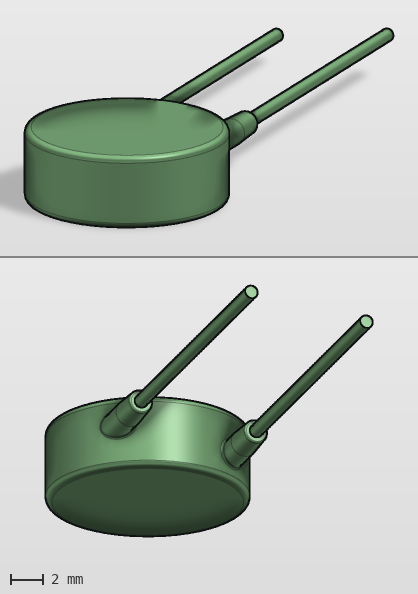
import cadquery as cq

body_diameter = 12.5
body_height = 4.6
body_edge_radius = 0.4

overall_length = 35.5
lead_offset_x = 3.73
lead_offset_z = 0.5
wire_diameter = 0.8

sleeve_diameter = 1.7
sleeve_tip_diameter = 1.5
sleeve_tip_edge_radius = 0.1
sleeve_root_blend = 0.1
taper_start_y = 7.05
sleeve_tip_y = 9.23

body_radius = body_diameter / 2
wire_end_y = overall_length - body_radius
sleeve_root_y = body_radius / 2


def make_body():
    """Disc with rounded top and bottom rims."""
    disc = cq.Workplane("XY").workplane(offset=-body_height / 2).circle(body_radius).extrude(body_height)
    return disc.faces("|Z").edges().fillet(body_edge_radius)


def make_lead(x, z):
    """Tapered sleeve and the wire through it, along an axis parallel to Y."""
    sleeve_radius = sleeve_diameter / 2
    tip_radius = sleeve_tip_diameter / 2
    wire_radius = wire_diameter / 2
    sleeve = (
        cq.Workplane("XY")
        .moveTo(0, sleeve_root_y)
        .lineTo(sleeve_radius, sleeve_root_y)
        .lineTo(sleeve_radius, taper_start_y)
        .lineTo(tip_radius, sleeve_tip_y)
        .lineTo(0, sleeve_tip_y)
        .close()
        .revolve(360, (0, 0, 0), (0, 1, 0))
        .faces(">Y")
        .edges()
        .fillet(sleeve_tip_edge_radius)
    )
    wire = (
        cq.Workplane("XZ", origin=(0, sleeve_root_y, 0))
        .circle(wire_radius)
        .extrude(sleeve_root_y - wire_end_y)
    )
    return sleeve.union(wire).translate((x, 0, z))


result = make_body()
for side in (-1, 1):
    result = result.union(make_lead(side * lead_offset_x, side * lead_offset_z))

result = result.edges("%BSPLINE").fillet(sleeve_root_blend)